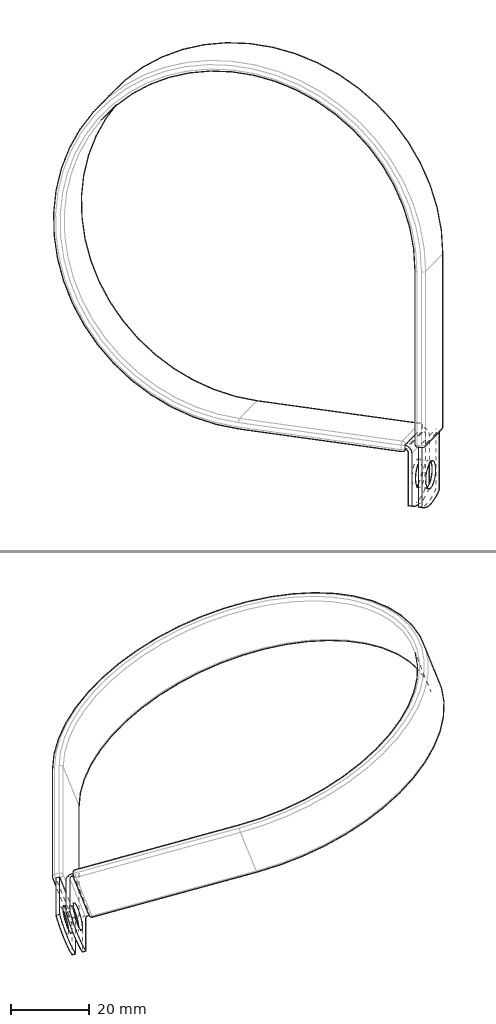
import cadquery as cq

outer_radius = 50.4
cushion_wall = 0.9
cushion_width = 14.3
cushion_edge_radius = 0.8
metal_thickness = 1.0
cushion_thickness = metal_thickness + 2 * cushion_wall
metal_width = 13.0
upright_leg_end = 48.6
lower_leg_end = 44.9
tab_bottom = 66.6
tab_gap = 1.8
tab_sag = 1.5
bend_inner_radius = metal_thickness
hole_diameter = 7.3
hole_to_tip = 8.1

middle_radius = outer_radius - cushion_thickness / 2
metal_outer = middle_radius + metal_thickness / 2
metal_inner = middle_radius - metal_thickness / 2
bent_tab_outer = metal_inner - tab_gap
bent_tab_inner = bent_tab_outer - metal_thickness
bend_outer_radius = bend_inner_radius + metal_thickness
bend_start = bent_tab_outer - bend_outer_radius


def cushion_leg(length):
    """Straight cushion hanging down from the origin, rounded on all edges but the top ones."""
    return (
        cq.Workplane("XY")
        .rect(cushion_thickness, cushion_width)
        .extrude(-length)
        .edges("|Z or <Z")
        .fillet(cushion_edge_radius)
    )


def cushion_loop():
    """Rounded band from the +X side over the top and round to the bottom."""
    section = (
        cq.Sketch()
        .rect(cushion_thickness, cushion_width)
        .vertices()
        .fillet(cushion_edge_radius)
    )
    return (
        cq.Workplane("XY")
        .placeSketch(section.moved(cq.Location(cq.Vector(middle_radius, 0, 0))))
        .revolve(270, (0, 0, 0), (0, -1, 0))
    )


def metal_strip():
    """Metal band: upright tab, three-quarter loop, lower leg, bend and second tab."""
    bend_center_z = -metal_outer - bend_inner_radius
    diagonal = 0.5 ** 0.5
    outer_mid = (-metal_outer * diagonal, metal_outer * diagonal)
    inner_mid = (-metal_inner * diagonal, metal_inner * diagonal)

    def bend_middle(radius):
        return (bend_start + radius * diagonal, bend_center_z + radius * diagonal)

    return (
        cq.Workplane("XZ")
        .moveTo(metal_outer, -tab_bottom)
        .lineTo(metal_outer, 0)
        .threePointArc(outer_mid, (0, -metal_outer))
        .lineTo(bend_start, -metal_outer)
        .threePointArc(bend_middle(bend_inner_radius), (bent_tab_inner, bend_center_z))
        .lineTo(bent_tab_inner, -tab_bottom)
        .lineTo(bent_tab_outer, -tab_bottom)
        .lineTo(bent_tab_outer, bend_center_z)
        .threePointArc(bend_middle(bend_outer_radius), (bend_start, -metal_inner))
        .lineTo(0, -metal_inner)
        .threePointArc(inner_mid, (metal_inner, 0))
        .lineTo(metal_inner, -tab_bottom)
        .close()
        .extrude(metal_width / 2, both=True)
    )


def tab_outline():
    """Envelope along X that rounds the tab tips and carries the bolt hole."""
    half_width = metal_width / 2
    shoulder = tab_sag - tab_bottom
    envelope = (
        cq.Workplane("YZ")
        .moveTo(-half_width, outer_radius)
        .lineTo(-half_width, shoulder)
        .threePointArc((0, -tab_bottom), (half_width, shoulder))
        .lineTo(half_width, outer_radius)
        .close()
        .extrude(outer_radius, both=True)
    )
    hole = (
        cq.Workplane("YZ")
        .center(0, hole_to_tip - tab_bottom)
        .circle(hole_diameter / 2)
        .extrude(outer_radius)
    )
    return envelope.cut(hole)


upright_cushion = cushion_leg(upright_leg_end).translate((middle_radius, 0, 0))
lower_cushion = (
    cushion_leg(lower_leg_end)
    .rotate((0, 0, 0), (0, 1, 0), -90)
    .translate((0, 0, -middle_radius))
)

metal = metal_strip().intersect(tab_outline())
result = metal.union(cushion_loop()).union(upright_cushion).union(lower_cushion)